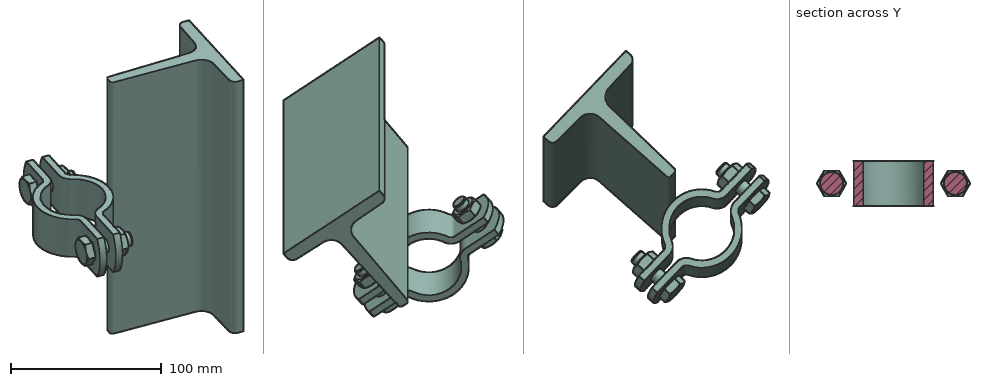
import cadquery as cq
import math


beam_length = 200.0
beam_size = 80.0
beam_thickness = 9.0
face_taper = 0.02
root_radius = beam_thickness
toe_radius = root_radius / 2
web_tip_radius = 2.0

strip_thickness = 5.0
strip_width = 30.0
clamp_span = 112.0
clamp_gap = 6.8
pipe_radius = 21.5
bend_radius = 4.0
ear_end_radius = 30.0
weld_overlap = 0.2

bolt_offset = 41.0
bolt_diameter = 10.0
bolt_tip_diameter = 9.2
bolt_tip_length = 1.0
bolt_projection = 12.8
across_flats = 17.0
head_height = 6.5
head_face_diameter = across_flats
bearing_face_diameter = 15.5
bearing_face_height = 0.5
nut_height = 8.0
nut_face_diameter = 15.5
hex_chamfer_angle = 30.0

saddle_radius = pipe_radius + strip_thickness
ear_inner = clamp_gap / 2
ear_outer = ear_inner + strip_thickness
web_tip_y = saddle_radius - weld_overlap
flange_back_y = web_tip_y + beam_size


def make_beam():
    half_width = beam_size / 2

    def flange_depth(x):
        return beam_thickness + face_taper * (beam_size / 4 - x)

    def web_half(depth):
        return beam_thickness / 2 + face_taper * (beam_size / 2 - depth)

    root_x = (web_half(0) - face_taper * flange_depth(0)) / (1 - face_taper**2)
    root = (root_x, flange_back_y - flange_depth(root_x))
    toe = (half_width, flange_back_y - flange_depth(half_width))
    tip = (web_half(beam_size), web_tip_y)

    half_outline = [(0, flange_back_y), (half_width, flange_back_y), toe, root, tip, (0, web_tip_y)]
    half = cq.Workplane("XY").polyline(half_outline).close().extrude(beam_length / 2, both=True)
    for corner, radius in ((root, root_radius), (toe, toe_radius), (tip, web_tip_radius)):
        half = half.edges(cq.NearestToPointSelector((*corner, 0))).fillet(radius)
    return half.union(half.mirror("YZ")).clean()


def make_clamp_half():
    """Half of the clamp on the +Y side: a saddle with a rounded ear at each end."""
    bend_distance = saddle_radius + bend_radius
    bend_y = ear_outer + bend_radius
    bend_x = math.sqrt(bend_distance**2 - bend_y**2)
    tangent_angle = math.atan2(bend_y, bend_x)
    bend_mid_angle = (tangent_angle + math.pi / 2) / 2
    end_x = clamp_span / 2

    def face_points(radius_on_saddle, radius_on_bend, ear_y):
        """Bend start, bend middle, bend end and saddle top along one face of the strip."""
        bend_start = (bend_x, ear_y)
        bend_middle = (
            bend_x - radius_on_bend * math.cos(bend_mid_angle),
            bend_y - radius_on_bend * math.sin(bend_mid_angle),
        )
        bend_end = (radius_on_saddle * math.cos(tangent_angle), radius_on_saddle * math.sin(tangent_angle))
        return bend_start, bend_middle, bend_end, (0, radius_on_saddle)

    outer_start, outer_middle, outer_end, outer_top = face_points(saddle_radius, bend_radius, ear_outer)
    inner_start, inner_middle, inner_end, inner_top = face_points(
        pipe_radius, bend_radius + strip_thickness, ear_inner
    )

    def mirrored(point):
        return (-point[0], point[1])

    strip = (
        cq.Workplane("XY")
        .moveTo(end_x, ear_inner)
        .lineTo(end_x, ear_outer)
        .lineTo(*outer_start)
        .threePointArc(outer_middle, outer_end)
        .threePointArc(outer_top, mirrored(outer_end))
        .threePointArc(mirrored(outer_middle), mirrored(outer_start))
        .lineTo(-end_x, ear_outer)
        .lineTo(-end_x, ear_inner)
        .lineTo(*mirrored(inner_start))
        .threePointArc(mirrored(inner_middle), mirrored(inner_end))
        .threePointArc(inner_top, inner_end)
        .threePointArc(inner_middle, inner_start)
        .close()
        .extrude(strip_width / 2, both=True)
    )

    corner_x = end_x - ear_end_radius + math.sqrt(ear_end_radius**2 - (strip_width / 2) ** 2)
    corner_z = strip_width / 2
    ear_outline = (
        cq.Workplane("XZ")
        .moveTo(-corner_x, -corner_z)
        .lineTo(corner_x, -corner_z)
        .threePointArc((end_x, 0), (corner_x, corner_z))
        .lineTo(-corner_x, corner_z)
        .threePointArc((-end_x, 0), (-corner_x, -corner_z))
        .close()
        .extrude(saddle_radius, both=True)
    )
    return strip.intersect(ear_outline)


def rod(x, diameter, start_y, end_y):
    return cq.Workplane("XZ", origin=(x, start_y, 0)).circle(diameter / 2).extrude(start_y - end_y)


def hexagon(x, start_y, height, start_face_diameter, end_face_diameter=None):
    """Hexagonal block along +Y, chamfered at its start face and, if given, at its end face."""
    corner_radius = across_flats / math.sqrt(3)
    end_y = start_y + height
    slope = math.tan(math.radians(hex_chamfer_angle))

    def chamfer_height(face_diameter):
        return (corner_radius - face_diameter / 2) * slope

    envelope = [(0, start_y), (start_face_diameter / 2, start_y)]
    envelope.append((corner_radius, start_y + chamfer_height(start_face_diameter)))
    if end_face_diameter is None:
        envelope.append((corner_radius, end_y))
    else:
        envelope.append((corner_radius, end_y - chamfer_height(end_face_diameter)))
        envelope.append((end_face_diameter / 2, end_y))
    envelope.append((0, end_y))

    prism = cq.Workplane("XZ", origin=(0, start_y, 0)).polygon(6, 2 * corner_radius).extrude(-height)
    turned = cq.Workplane("XY").polyline(envelope).close().revolve(360, (0, 0), (0, 1))
    return prism.intersect(turned).translate((x, 0, 0))


def make_bolt(x):
    """Bolt with its head on the -Y ear and its nut on the +Y ear."""
    tip_chamfer = (bolt_diameter - bolt_tip_diameter) / 2
    shank = rod(x, bolt_diameter, -ear_outer, ear_outer + bolt_projection)
    shank = shank.faces(">Y").chamfer(bolt_tip_length, tip_chamfer)
    hex_height = head_height - bearing_face_height
    head = hexagon(x, -ear_outer - head_height, hex_height, head_face_diameter)
    head = head.union(rod(x, bearing_face_diameter, -ear_outer - bearing_face_height, -ear_outer))
    nut = hexagon(x, ear_outer, nut_height, nut_face_diameter, nut_face_diameter)
    return shank.union(head).union(nut)


clamp_half = make_clamp_half()
result = make_beam().union(clamp_half).union(clamp_half.mirror("XZ"))
for bolt_x in (-bolt_offset, bolt_offset):
    result = result.union(make_bolt(bolt_x))